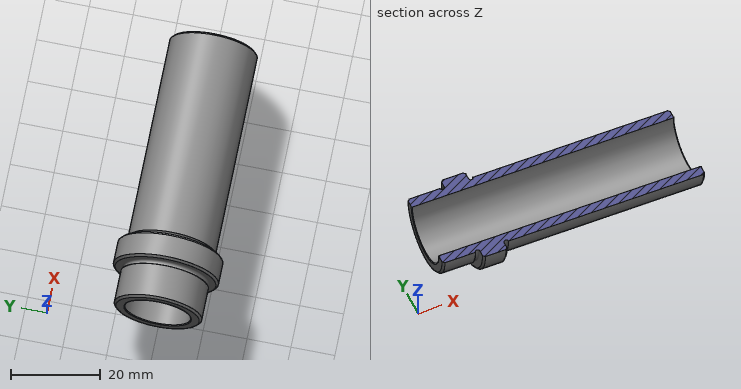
import cadquery as cq

total_length = 64.0
body_diameter = 20.0
collar_diameter = 24.0
bore_diameter = 15.0
collar_start = 9.0
collar_width = 6.0

edge_chamfer = 0.5
bore_chamfer = 0.2
relief_radius = 0.5

body_radius = body_diameter / 2
collar_radius = collar_diameter / 2
bore_radius = bore_diameter / 2
collar_end = collar_start + collar_width


def revolve_about_axis(profile):
    """Turn a closed half profile in the XY plane fully around the X axis."""
    return profile.revolve(360, (0, 0, 0), (1, 0, 0))


def chamfered_cylinder(start, end, radius):
    """Solid round section along X with both outer edges chamfered."""
    profile = (
        cq.Workplane("XY")
        .moveTo(start, 0)
        .lineTo(start, radius - edge_chamfer)
        .lineTo(start + edge_chamfer, radius)
        .lineTo(end - edge_chamfer, radius)
        .lineTo(end, radius - edge_chamfer)
        .lineTo(end, 0)
        .close()
    )
    return revolve_about_axis(profile)


def relief_groove(center):
    """Ring-shaped cutter for a half-round relief in the body surface."""
    profile = cq.Workplane("XY").center(center, body_radius).circle(relief_radius)
    return profile.revolve(360, (0, -body_radius, 0), (1, -body_radius, 0))


def bore():
    """Through bore with a small chamfer at each mouth."""
    mouth_radius = bore_radius + bore_chamfer
    profile = (
        cq.Workplane("XY")
        .lineTo(0, mouth_radius)
        .lineTo(bore_chamfer, bore_radius)
        .lineTo(total_length - bore_chamfer, bore_radius)
        .lineTo(total_length, mouth_radius)
        .lineTo(total_length, 0)
        .close()
    )
    return revolve_about_axis(profile)


body = chamfered_cylinder(0, total_length, body_radius)
collar = chamfered_cylinder(collar_start, collar_end, collar_radius)

for relief_center in (collar_start - relief_radius, collar_end + relief_radius):
    body = body.cut(relief_groove(relief_center))

result = body.union(collar).cut(bore())